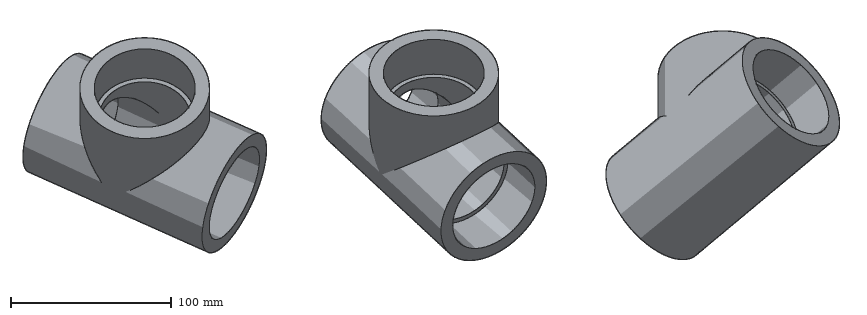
import cadquery as cq

run_length = 129.0
outer_diameter = 81.0
socket_diameter = 63.0
bore_diameter = 57.0
socket_depth = 29.0

end_distance = run_length / 2


def run_cylinder(diameter, length):
    """Cylinder along X, centred on the tee centre."""
    return cq.Workplane("YZ").circle(diameter / 2).extrude(length / 2, both=True)


def branch_cylinder(diameter, bottom):
    """Cylinder along Z from height `bottom` up to the branch end."""
    return (
        cq.Workplane("XY")
        .workplane(offset=bottom)
        .circle(diameter / 2)
        .extrude(end_distance - bottom)
    )


def run_socket(side):
    """Pipe socket at the +X (side = 1) or -X (side = -1) end of the run."""
    return (
        cq.Workplane("YZ")
        .workplane(offset=side * end_distance)
        .circle(socket_diameter / 2)
        .extrude(-side * socket_depth)
    )


body = run_cylinder(outer_diameter, run_length).union(branch_cylinder(outer_diameter, 0))

body = body.cut(run_cylinder(bore_diameter, run_length))
body = body.cut(branch_cylinder(bore_diameter, 0))

for side in (-1, 1):
    body = body.cut(run_socket(side))
result = body.cut(branch_cylinder(socket_diameter, end_distance - socket_depth))